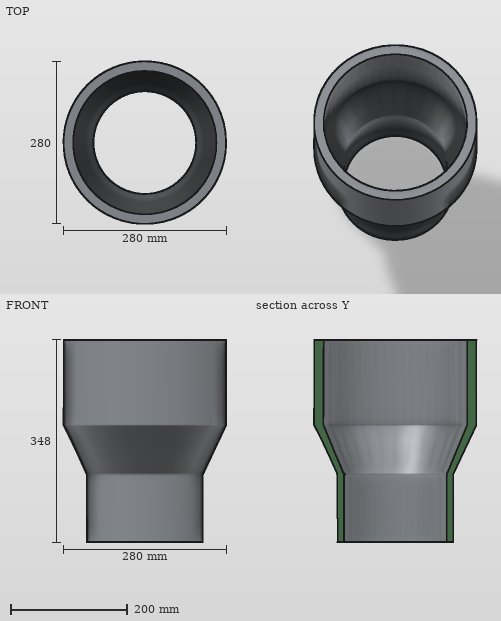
import cadquery as cq

total_height = 348.0
spigot_height = 117.0
socket_height = 146.0
socket_base = total_height - socket_height

blend_radius = 5.0

socket_outer_radius = 280.0 / 2
socket_wall = 16.7
spigot_outer_radius = 200.0 / 2
spigot_wall = 12.0

socket_inner_radius = socket_outer_radius - socket_wall
spigot_inner_radius = spigot_outer_radius - spigot_wall


def stepped_cone(spigot_radius, socket_radius):
    """Solid of revolution: narrow cylinder, cone, then wide cylinder, blended at both joints."""
    body = (
        cq.Workplane("XZ")
        .lineTo(spigot_radius, 0)
        .lineTo(spigot_radius, spigot_height)
        .lineTo(socket_radius, socket_base)
        .lineTo(socket_radius, total_height)
        .lineTo(0, total_height)
        .close()
        .revolve(360, (0, 0, 0), (0, 1, 0))
    )
    joints = body.faces("%CONE").edges("%CIRCLE")
    return joints.fillet(blend_radius)


outer_body = stepped_cone(spigot_outer_radius, socket_outer_radius)
bore = stepped_cone(spigot_inner_radius, socket_inner_radius)

result = outer_body.cut(bore)